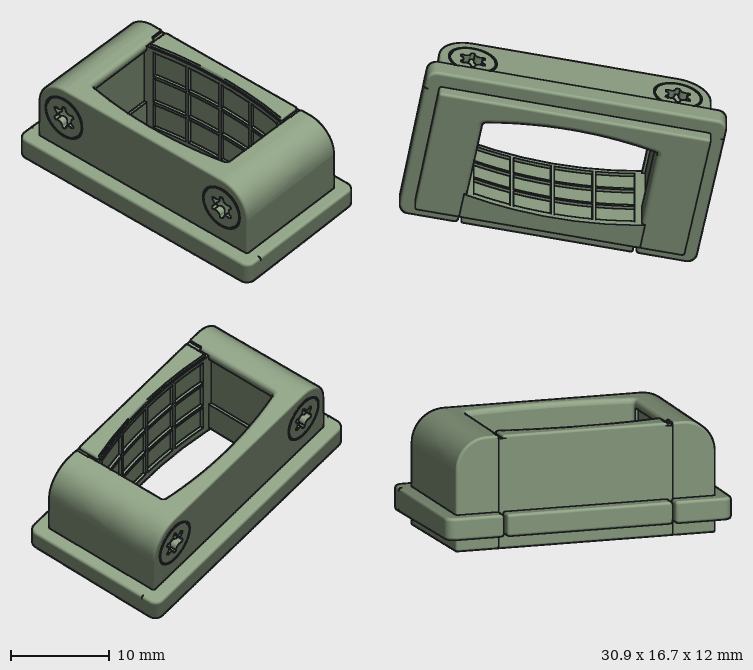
import cadquery as cq
import math

flange_width = 30.9
flange_depth = 16.7
flange_bottom = 1.5
flange_height = 2.55
flange_top = flange_bottom + flange_height
flange_back = flange_depth / 2
flange_corner_radius = 1.0

housing_width = 28.03
housing_front = -6.83
housing_back = 6.9
housing_height = 12.0
shoulder_radius = 3.45
edge_radius = 0.3
end_edge_radius = 0.28

parting_y = -6.35
draft_angle = 0.5

opening_half_width = 9.02
opening_half_length = 5.07
arch_rise = 0.9
arch_radius = (opening_half_width**2 + arch_rise**2) / (2 * arch_rise)
arch_center_y = opening_half_length - arch_radius
opening_corner_radius = 0.37
opening_lip_radius = 0.53

side_recess_depth = 0.3
side_recess_front = -3.85
side_recess_top = housing_height - 0.93
side_wall_x = opening_half_width + side_recess_depth

flap_half_width = 8.87
flap_slot_front = 5.35
flap_slot_floor = housing_height - 0.43
flange_slot_width = 0.3
notch_corner_radius = 0.37
flap_bevel_depth = 0.37
flap_bevel_height = 0.93
flap_side_radius = 0.28
flap_lip_radius = 0.15

rib_width = 0.35
rib_height = 0.35
column_pitch = 4.23
row_pitch = 3.45
column_count = 4
row_count = 3

screw_x = 10.57
screw_z = 8.3
screw_seat_radius = 2.5
screw_head_radius = 2.35
screw_seat_depth = 0.15
lobe_count = 6
lobe_tip_radius = 1.42
lobe_shoulder_radius = 1.3
lobe_half_angle = 9.0
valley_radius = 0.95
socket_wall_depth = 0.68
socket_cone_depth = 0.62

margin = 0.03


def span_box(x0, x1, y0, y1, z0, z1):
    """Box between two opposite corners."""
    return cq.Workplane("XY").box(x1 - x0, y1 - y0, z1 - z0, centered=False).translate((x0, y0, z0))


def parting_plane():
    return cq.Workplane("ZX", origin=(0, parting_y, 0))


def extrude_from_parting(profile, end_y):
    """Extrude an outline from the parting plane: straight to the front, drafted to the rear."""
    taper = draft_angle if end_y > parting_y else 0
    direction = cq.Vector(0, end_y - parting_y, 0)
    return cq.Workplane(cq.Solid.extrudeLinear(profile.wire().val(), [], direction, taper))


def make_flange(notched):
    """Flange plate; when notched, its rear middle is open to leave room for the flap and its slots."""
    profile = parting_plane().center(flange_bottom + flange_height / 2, 0).rect(flange_height, flange_width)
    front = extrude_from_parting(profile, -flange_back)
    front = front.faces("<Y").edges("|Z").fillet(flange_corner_radius)
    rear = extrude_from_parting(profile, flange_back)
    rear = rear.faces(">Y").edges("|Z").fillet(flange_corner_radius)
    if notched:
        notch_x = flap_half_width + flange_slot_width
        rear = rear.cut(span_box(-notch_x, notch_x, parting_y, flange_back, 0, housing_height))
        notch_corners = cq.selectors.BoxSelector(
            (-notch_x - margin, flange_back - margin, 0),
            (notch_x + margin, flange_back + margin, housing_height),
        )
        rear = rear.edges("|Z").edges(notch_corners).fillet(notch_corner_radius)
    front = front.faces("<Y or <X or >X").edges("not |Z").fillet(edge_radius)
    rear = rear.faces(">Y or <X or >X").edges("not |Z").fillet(edge_radius)
    return front.union(rear)


def make_housing():
    """Round-shouldered block with rounded front and rear edges."""
    half_width = housing_width / 2
    shoulder_x = half_width - shoulder_radius
    shoulder_z = housing_height - shoulder_radius
    bottom_x = half_width - edge_radius
    profile = (
        parting_plane()
        .moveTo(0, -bottom_x)
        .radiusArc((edge_radius, -half_width), -edge_radius)
        .lineTo(shoulder_z, -half_width)
        .radiusArc((housing_height, -shoulder_x), -shoulder_radius)
        .lineTo(housing_height, shoulder_x)
        .radiusArc((shoulder_z, half_width), -shoulder_radius)
        .lineTo(edge_radius, half_width)
        .radiusArc((0, bottom_x), -edge_radius)
        .close()
    )
    halves = []
    for end_y, end_face in ((housing_front, "<Y"), (housing_back, ">Y")):
        half = extrude_from_parting(profile, end_y)
        halves.append(half.faces(end_face).edges().fillet(end_edge_radius))
    return halves[0].union(halves[1])


def rear_arch_y(x):
    """Y of the arched rear end of the opening at a given X; the front end mirrors it."""
    return arch_center_y + math.sqrt(arch_radius**2 - x**2)


def arch_cylinder(radius, z0, z1):
    """Full cylinder whose rear side is the arched rear end of the opening."""
    return cq.Workplane("XY", origin=(0, arch_center_y, z0)).circle(radius).extrude(z1 - z0)


def make_opening_cutter():
    """Prism with an arched front end that runs out at the rear."""
    corner_y = -rear_arch_y(opening_half_width)
    rear_y = flange_depth
    return (
        cq.Workplane("XY")
        .moveTo(-opening_half_width, rear_y)
        .lineTo(-opening_half_width, corner_y)
        .threePointArc((0, -opening_half_length), (opening_half_width, corner_y))
        .lineTo(opening_half_width, rear_y)
        .close()
        .extrude(housing_height)
        .edges("|Z")
        .edges("<Y")
        .fillet(opening_corner_radius)
    )


def make_frame(flange, housing):
    """Housing and flange with the opening, its rounded top edge, side recesses and slots."""
    opening = make_opening_cutter()
    frame = housing.cut(opening)
    rim = cq.selectors.BoxSelector(
        (-opening_half_width - margin, -opening_half_length - margin, housing_height - 0.15),
        (opening_half_width + margin, housing_back - end_edge_radius, housing_height + margin),
        boundingbox=False,
    )
    frame = frame.edges(rim).fillet(opening_lip_radius).union(flange.cut(opening))

    side_recess = span_box(
        -side_wall_x, side_wall_x, side_recess_front, flap_slot_front, flange_top, side_recess_top
    )
    flap_slot = span_box(
        -side_wall_x, side_wall_x, flap_slot_front, flange_depth, flap_slot_floor, housing_height
    )
    return frame.cut(side_recess).cut(flap_slot)


def cut_flap_blank(body):
    """Rear middle portion of a body with its side edges rounded."""
    blank = body.intersect(
        span_box(-flap_half_width, flap_half_width, 0, flange_back, 0, housing_height)
    )
    inner_edges = cq.selectors.BoxSelector((-flange_width, -0.3, -0.3), (flange_width, 0.3, housing_height + 0.3))
    sides = cq.selectors.StringSyntaxSelector("<X or >X")
    return blank.faces(sides).edges(cq.selectors.InverseSelector(inner_edges)).fillet(flap_side_radius)


def make_rib_pockets():
    """Grid of pockets that leaves crossing ribs standing on the flap's inner face."""
    pocket_width = column_pitch - rib_width
    pocket_height = row_pitch - rib_width
    prisms = (
        cq.Workplane("XZ", origin=(0, 0, housing_height / 2))
        .rarray(column_pitch, row_pitch, column_count, row_count)
        .rect(pocket_width, pocket_height)
        .extrude(-flange_back)
    )
    return prisms.intersect(arch_cylinder(arch_radius + rib_height, 0, housing_height))


def make_flap(flange, housing):
    """Rear wall with a bevelled arched lip, a ribbed inner face and a foot that joins the frame."""
    bevel_bottom = housing_height - flap_bevel_height
    bevel = cq.Solid.makeCone(
        arch_radius, arch_radius + flap_bevel_depth, flap_bevel_height,
        pnt=cq.Vector(0, arch_center_y, bevel_bottom),
    )
    flap = cut_flap_blank(flange).union(cut_flap_blank(housing))
    flap = flap.cut(arch_cylinder(arch_radius, 0, housing_height)).cut(cq.Workplane(bevel))
    lip = cq.selectors.BoxSelector(
        (-0.3, 0, housing_height - 0.3), (0.3, housing_back - 0.62, housing_height + 0.3)
    )
    flap = flap.edges(lip).fillet(flap_lip_radius)

    foot = flange.union(housing).intersect(
        span_box(-side_wall_x, side_wall_x, 0, housing_back, 0, flap_slot_floor)
    )
    foot = foot.cut(arch_cylinder(arch_radius, 0, housing_height))
    return flap.union(foot).cut(make_rib_pockets())


def polar_point(radius, degrees):
    angle = math.radians(degrees)
    return (radius * math.cos(angle), radius * math.sin(angle))


def make_screw_cutter():
    """Groove around a flush screw head and its six-lobed socket with a conical floor, sunk along +Y."""
    seat = cq.Solid.makeCone(
        screw_seat_radius, screw_head_radius, screw_seat_depth, dir=cq.Vector(0, 1, 0)
    )
    head = cq.Workplane("XZ").circle(screw_head_radius).extrude(-screw_seat_depth)
    groove = cq.Workplane(seat).cut(head)
    lobe_pitch = 360 / lobe_count
    first_lobe = 90
    outline = cq.Workplane("XZ").moveTo(*polar_point(lobe_shoulder_radius, first_lobe - lobe_half_angle))
    for lobe in range(lobe_count):
        angle = first_lobe + lobe * lobe_pitch
        outline = outline.threePointArc(
            polar_point(lobe_tip_radius, angle), polar_point(lobe_shoulder_radius, angle + lobe_half_angle)
        ).threePointArc(
            polar_point(valley_radius, angle + lobe_pitch / 2),
            polar_point(lobe_shoulder_radius, angle + lobe_pitch - lobe_half_angle),
        )
    socket = outline.close().extrude(-(socket_wall_depth + socket_cone_depth))
    envelope = cq.Workplane("XZ").circle(lobe_tip_radius).extrude(-socket_wall_depth)
    floor = cq.Solid.makeCone(
        lobe_tip_radius, 0, socket_cone_depth,
        pnt=cq.Vector(0, socket_wall_depth, 0), dir=cq.Vector(0, 1, 0),
    )
    return socket.intersect(envelope.union(cq.Workplane(floor))).union(groove)


housing = make_housing()
frame = make_frame(make_flange(notched=True), housing)
flap = make_flap(make_flange(notched=False), housing)
result = frame.union(flap)
for side in (-1, 1):
    result = result.cut(make_screw_cutter().translate((side * screw_x, housing_front, screw_z)))